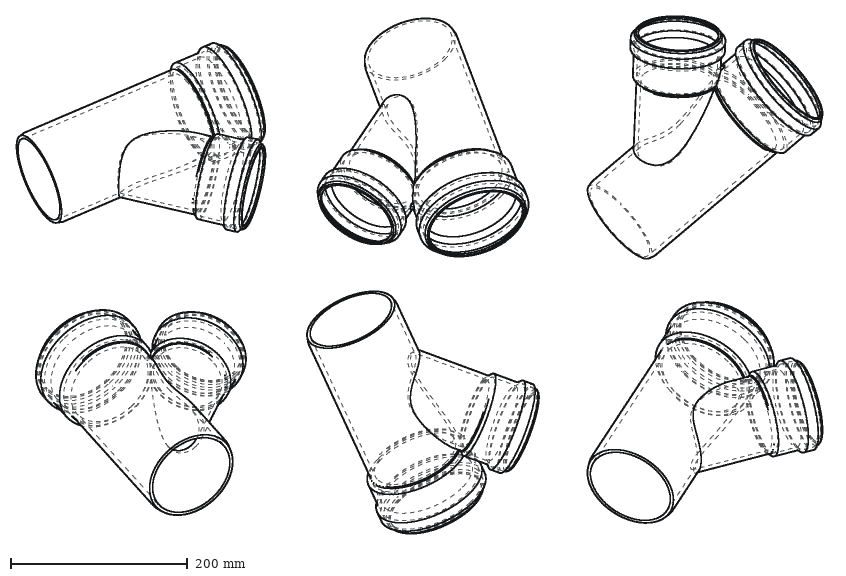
import cadquery as cq

pipe_length = 260.2
pipe_radius = 110.3 / 2
pipe_bore_radius = 99.5 / 2
lead_in_length = 6.2
lead_in_depth = 1.5

branch_angle = 45.0
branch_origin_y = 81.7
branch_length = 178.5
branch_radius = 90.8 / 2
branch_bore_radius = 81.2 / 2

main_socket = dict(
    mouth_radius=57.8, lip_radius=59.8, bead_radius=64.8, socket_radius=121.5 / 2,
    lip_neck_radius=61.1, foot_neck_radius=62.2,
    bore_radius=111.4 / 2, groove_radius=120.5 / 2,
    lip=2.5, lip_neck=5.7, bead_start=8.8, bead_end=20.8, foot_neck=24.0, bead_foot=27.8,
    shoulder_start=58.0, shoulder_neck=62.7, shoulder_end=64.3, shoulder_neck_rise=0.65,
)

branch_socket = dict(
    mouth_radius=48.1, lip_radius=50.0, bead_radius=53.9, socket_radius=99.5 / 2,
    lip_neck_radius=50.7, foot_neck_radius=51.3,
    bore_radius=91.0 / 2, groove_radius=100.5 / 2,
    lip=2.0, lip_neck=4.7, bead_start=7.3, bead_end=19.3, foot_neck=21.9, bead_foot=25.5,
    shoulder_start=53.9, shoulder_neck=57.5, shoulder_end=58.8, shoulder_neck_rise=0.5,
)

web_thickness = 4.7
web_top_inner = (58.5, 219.5)
web_top_outer = (67.7, 216.5)
web_root = (58.5, 203.0)


def outer_body(length, start_points, radius, socket):
    """Solid pipe with a socket at Y = length; fillets blend in the shoulder and the bead."""
    return (
        cq.Workplane("XY")
        .polyline([*start_points, (radius, length - socket["shoulder_end"])])
        .tangentArcPoint(
            (radius + socket["shoulder_neck_rise"], length - socket["shoulder_neck"]), relative=False
        )
        .lineTo(socket["socket_radius"], length - socket["shoulder_start"])
        .lineTo(socket["socket_radius"], length - socket["bead_foot"])
        .tangentArcPoint((socket["foot_neck_radius"], length - socket["foot_neck"]), relative=False)
        .lineTo(socket["bead_radius"], length - socket["bead_end"])
        .lineTo(socket["bead_radius"], length - socket["bead_start"])
        .lineTo(socket["lip_neck_radius"], length - socket["lip_neck"])
        .tangentArcPoint((socket["lip_radius"], length - socket["lip"]), relative=False)
        .lineTo(socket["mouth_radius"], length)
        .lineTo(0, length)
        .close()
        .revolve(360, (0, 0, 0), (0, 1, 0))
    )


def inner_void(length, radius, socket):
    """Pipe bore, socket bore and the sealing-ring groove under the bead."""
    profile = [
        (0, 0),
        (radius, 0),
        (radius, length - socket["shoulder_end"]),
        (socket["bore_radius"], length - socket["shoulder_start"]),
        (socket["bore_radius"], length - socket["bead_foot"]),
        (socket["groove_radius"], length - socket["bead_end"]),
        (socket["groove_radius"], length - socket["bead_start"]),
        (socket["bore_radius"], length - socket["lip"]),
        (socket["bore_radius"], length),
        (0, length),
    ]
    return cq.Workplane("XY").polyline(profile).close().revolve(360, (0, 0, 0), (0, 1, 0))


def place_branch(shape):
    """Tilt a shape built along Y towards +X and move it to the axis crossing."""
    return shape.rotate((0, 0, 0), (0, 0, 1), -branch_angle).translate((0, branch_origin_y, 0))


def socket_web():
    """Thin triangular plate whose lower tip is buried in the branch socket."""
    half_thickness = web_thickness / 2
    return (
        cq.Workplane("XY")
        .workplane(offset=-half_thickness)
        .polyline([web_root, web_top_inner, web_top_outer])
        .close()
        .extrude(web_thickness)
    )


main_start = [(0, 0), (pipe_radius - lead_in_depth, 0), (pipe_radius, lead_in_length)]
main_outer = outer_body(pipe_length, main_start, pipe_radius, main_socket)
main_void = inner_void(pipe_length, pipe_bore_radius, main_socket)

branch_start = [(0, 0), (branch_radius, 0)]
branch_outer = place_branch(outer_body(branch_length, branch_start, branch_radius, branch_socket))
branch_void = place_branch(inner_void(branch_length, branch_bore_radius, branch_socket))

result = main_outer.union(branch_outer).union(socket_web()).cut(main_void).cut(branch_void)